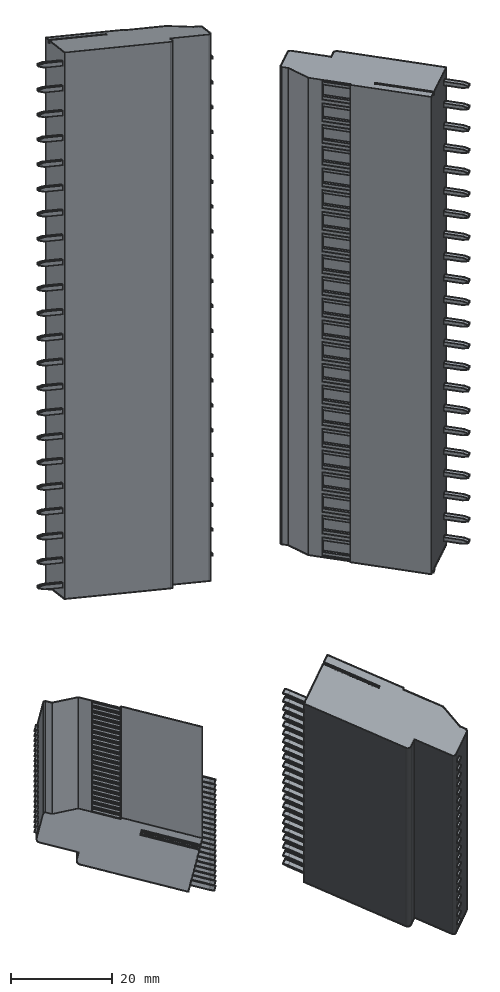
import cadquery as cq
POLE_COUNT = 22
PITCH = 5.08
HOUSING_HEIGHT = POLE_COUNT * PITCH

HOUSING_WIDTH = 11.1
BACK_Y = 31.5
STEP_Y = 16.5
STEP_DEPTH = 0.3
SLOPE_START_Y = 25.1
SLOPE_END_Y = 29.8
NECK_LEFT_X = 2.65
NECK_CHAMFER = 0.3
NECK_RIGHT_X = 8.8
SHOULDER_Y = 22.8
NECK_CORNER_RADIUS = 0.6
SHOULDER_CORNER_RADIUS = 0.8

WINDOW_END_Y = 22.3
WINDOW_HEIGHT = 4.2
WINDOW_DEPTH = 0.1
POCKET_HEIGHT = 2.75
POCKET_DEPTH = 0.6

PIN_X = 9.6
PIN_WIDTH = 1.0
PIN_THICKNESS = 0.9
PIN_LENGTH = 5.0
PIN_TIP_LENGTH = 1.1
PIN_TIP_THICKNESS = 0.3
PIN_ROOT = 1.0

RIB_X = 1.85
RIB_ROOT_WIDTH = 1.0
RIB_ROOT_HEIGHT = 0.35
RIB_TIP_WIDTH = 0.4
RIB_HEIGHT = 0.6
RIB_LENGTH = 12.0

NUB_X = 7.4
NUB_WIDTH = 1.2
NUB_HEIGHT = 0.4
NUB_PROJECTION = 0.5


def box(x_min, x_max, y_min, y_max, z_min, z_max):
    """Axis-aligned block given by its limits."""
    size = (x_max - x_min, y_max - y_min, z_max - z_min)
    return cq.Workplane("XY").box(*size, centered=False).translate((x_min, y_min, z_min))


def pole_z(index):
    """Height of the centre of a pole."""
    return (index + 0.5) * PITCH


def housing():
    outline = [
        (0, 0),
        (0, STEP_Y),
        (STEP_DEPTH, STEP_Y),
        (STEP_DEPTH, SLOPE_START_Y),
        (NECK_LEFT_X, SLOPE_END_Y),
        (NECK_LEFT_X, BACK_Y - NECK_CHAMFER),
        (NECK_LEFT_X + NECK_CHAMFER, BACK_Y),
        (NECK_RIGHT_X, BACK_Y),
        (NECK_RIGHT_X, SHOULDER_Y),
        (HOUSING_WIDTH, SHOULDER_Y),
        (HOUSING_WIDTH, 0),
    ]
    body = cq.Workplane("XY").polyline(outline).close().extrude(HOUSING_HEIGHT)
    middle_z = HOUSING_HEIGHT / 2
    neck_corner = cq.selectors.NearestToPointSelector((NECK_RIGHT_X, BACK_Y, middle_z))
    body = body.edges(neck_corner).fillet(NECK_CORNER_RADIUS)
    shoulder_corner = cq.selectors.NearestToPointSelector((HOUSING_WIDTH, SHOULDER_Y, middle_z))
    return body.edges(shoulder_corner).fillet(SHOULDER_CORNER_RADIUS)


def window_recess(index):
    z = pole_z(index)
    floor_x = STEP_DEPTH + WINDOW_DEPTH
    half_window = WINDOW_HEIGHT / 2
    half_pocket = POCKET_HEIGHT / 2
    window = box(0, floor_x, STEP_Y, WINDOW_END_Y, z - half_window, z + half_window)
    pocket = box(0, floor_x + POCKET_DEPTH, STEP_Y, WINDOW_END_Y, z - half_pocket, z + half_pocket)
    return window.union(pocket)


def pin(index):
    """Rectangular pin along Y whose end narrows in Z like a chisel."""
    half_shaft = PIN_THICKNESS / 2
    half_tip = PIN_TIP_THICKNESS / 2
    tip_start_y = PIN_TIP_LENGTH - PIN_LENGTH
    side = [
        (PIN_ROOT, -half_shaft),
        (tip_start_y, -half_shaft),
        (-PIN_LENGTH, -half_tip),
        (-PIN_LENGTH, half_tip),
        (tip_start_y, half_shaft),
        (PIN_ROOT, half_shaft),
    ]
    pin_left_x = PIN_X - PIN_WIDTH / 2
    plane = cq.Workplane("YZ", origin=(pin_left_x, 0, pole_z(index)))
    return plane.polyline(side).close().extrude(PIN_WIDTH)


def interlock_bar(width, z_min, z_max):
    """Bar along Y that starts at the front face and is centred on the interlock."""
    return box(RIB_X - width / 2, RIB_X + width / 2, 0, RIB_LENGTH, z_min, z_max)


def nub(boundary):
    z = boundary * PITCH
    return box(
        NUB_X - NUB_WIDTH / 2,
        NUB_X + NUB_WIDTH / 2,
        BACK_Y - NUB_PROJECTION,
        BACK_Y + NUB_PROJECTION,
        z - NUB_HEIGHT / 2,
        z + NUB_HEIGHT / 2,
    )


result = housing()
for pole in range(POLE_COUNT):
    result = result.cut(window_recess(pole))
    result = result.union(pin(pole))
for boundary in range(1, POLE_COUNT):
    result = result.union(nub(boundary))
result = result.union(interlock_bar(RIB_ROOT_WIDTH, -RIB_ROOT_HEIGHT, 0))
result = result.union(interlock_bar(RIB_TIP_WIDTH, -RIB_HEIGHT, 0))
result = result.cut(interlock_bar(RIB_TIP_WIDTH, HOUSING_HEIGHT - RIB_HEIGHT, HOUSING_HEIGHT))